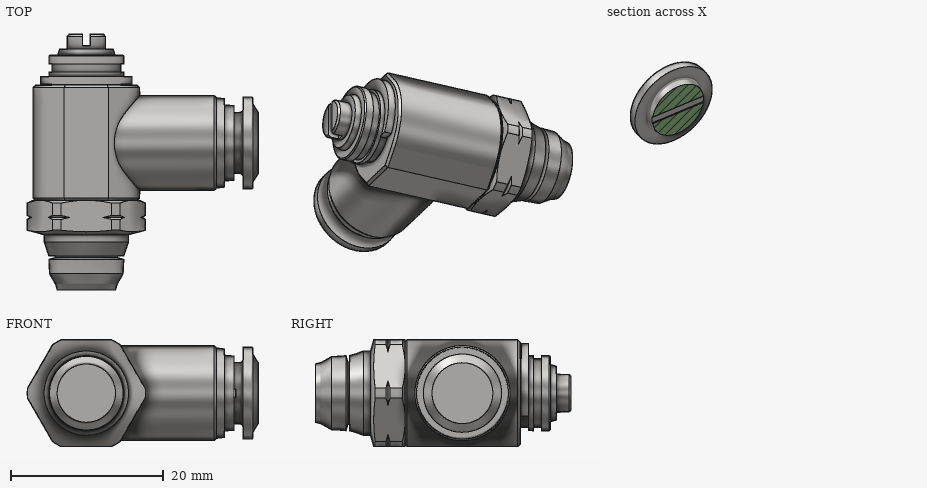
import cadquery as cq
import math


across_flats = 14.0
half_flats = across_flats / 2

body_top = 7.57
body_bottom = -7.5
body_top_chamfer = 0.35
body_bottom_chamfer = 0.27

nut_radius = 7.75
nut_bottom = -12.03
nut_top_chamfer_height = 0.37
nut_bottom_shoulder = -11.42
groove_center = -9.75
groove_depth = 0.4
groove_width = 0.55

seal_radius = 5.53
seal_taper_start = -12.95
thread_radius = 4.92
seal_bottom = -14.77
undercut_radius = 4.1
undercut_bottom = -15.0
plug_top = -15.25
plug_radius = 4.82
plug_taper_start = -17.12
nose_start = -18.53
nose_radius = 4.02
tip_radius = 3.82
valve_bottom = -19.25

collar_radius = 4.92
collar_groove_radius = 4.52
collar_bottom = 8.68
collar_groove_bottom = 9.28
collar_groove_top = 10.35
collar_top = 11.52
collar_chamfer = 0.17
cone_base_radius = 3.75
cone_top_radius = 3.52
screw_bottom = 12.3
screw_radius = 2.5
screw_chamfer = 0.27
valve_top = 14.25
screw_slot_width = 0.97
screw_slot_depth = 1.47

clip_radius = 6.0
clip_bottom = 7.67
clip_offset = 0.55
clip_open_level = -3.0

port_radius = 6.23
port_chamfer_start = 16.75
port_chamfer = 0.3
port_end_radius = 5.8
port_end = 18.1
sleeve_base_radius = 5.0
sleeve_end_radius = 4.9
sleeve_end = 19.35
neck_radius = 4.02
release_ring_start = 20.55
neck_fillet = 0.47
release_ring_radius = 6.03
release_ring_end = 21.8
release_ring_fillet = 0.2
release_face_outer_radius = 5.13
release_face_radius = 4.0
release_face = 22.5
neck_slit_height = 1.0
neck_slit_length = 0.2


def make_body():
    """Octagonal column whose two side faces are replaced by tangent round sides."""
    tangent = half_flats * math.sqrt(0.5)
    corner = half_flats * math.tan(math.radians(22.5))
    section = (
        cq.Workplane("XZ", origin=(0, body_top, 0))
        .moveTo(-corner, half_flats)
        .lineTo(corner, half_flats)
        .lineTo(tangent, tangent)
        .threePointArc((half_flats, 0), (tangent, -tangent))
        .lineTo(corner, -half_flats)
        .lineTo(-corner, -half_flats)
        .lineTo(-tangent, -tangent)
        .threePointArc((-half_flats, 0), (-tangent, tangent))
        .close()
    )
    column = section.extrude(body_top - body_bottom)
    column = column.faces(">Y").chamfer(body_top_chamfer)
    return column.faces("<Y").chamfer(body_bottom_chamfer)


def revolve_about_y(profile):
    """Turn a list of (radius, y) points about the valve axis."""
    return cq.Workplane("XY").polyline(profile).close().revolve(360, (0, 0), (0, 1))


def make_nut():
    """Hexagon trimmed by a turned shape that carries the end chamfers and the V groove."""
    corner_diameter = across_flats / math.cos(math.radians(30))
    hexagon = (
        cq.Workplane("XZ", origin=(0, body_bottom, 0))
        .polygon(6, corner_diameter)
        .extrude(body_bottom - nut_bottom)
    )
    envelope = revolve_about_y([
        (0, body_bottom),
        (half_flats, body_bottom),
        (nut_radius, body_bottom - nut_top_chamfer_height),
        (nut_radius, groove_center + groove_width / 2),
        (nut_radius - groove_depth, groove_center),
        (nut_radius, groove_center - groove_width / 2),
        (nut_radius, nut_bottom_shoulder),
        (seal_radius, nut_bottom),
        (0, nut_bottom),
    ])
    return hexagon.intersect(envelope)


def make_threaded_end():
    return revolve_about_y([
        (0, nut_bottom),
        (seal_radius, nut_bottom),
        (seal_radius, seal_taper_start),
        (thread_radius, seal_bottom),
        (undercut_radius, seal_bottom),
        (undercut_radius, undercut_bottom),
        (thread_radius, plug_top),
        (plug_radius, plug_taper_start),
        (nose_radius, nose_start),
        (tip_radius, valve_bottom),
        (0, valve_bottom),
    ])


def make_cap_and_screw():
    cap = revolve_about_y([
        (0, body_top),
        (collar_groove_radius, body_top),
        (collar_groove_radius, collar_bottom),
        (collar_radius, collar_bottom),
        (collar_radius, collar_groove_bottom),
        (collar_groove_radius, collar_groove_bottom),
        (collar_groove_radius, collar_groove_top),
        (collar_radius, collar_groove_top),
        (collar_radius, collar_top - collar_chamfer),
        (collar_radius - collar_chamfer, collar_top),
        (cone_base_radius, collar_top),
        (cone_top_radius, screw_bottom),
        (screw_radius, screw_bottom),
        (screw_radius, valve_top - screw_chamfer),
        (screw_radius - screw_chamfer, valve_top),
        (0, valve_top),
    ])
    slot = cq.Workplane("XY").box(screw_slot_width, 2 * screw_slot_depth, 2 * screw_radius)
    return cap.cut(slot.translate((0, valve_top, 0)))


def make_clip():
    """Off-centre disc cut flat along its open lower side."""
    thickness = collar_bottom - clip_bottom
    disc = (
        cq.Workplane("XZ", origin=(0, collar_bottom, 0))
        .center(0, clip_offset)
        .circle(clip_radius)
        .extrude(thickness)
    )
    keep_height = clip_offset + clip_radius - clip_open_level
    keep = cq.Workplane("XY").box(2 * clip_radius, thickness, keep_height)
    keep_center = (0, clip_bottom + thickness / 2, clip_open_level + keep_height / 2)
    return disc.intersect(keep.translate(keep_center))


def make_port():
    """Stepped tube port with its release ring, turned about the X axis."""
    neck_arc_mid = neck_fillet * (1 - math.sqrt(0.5))
    rim_arc_mid = release_ring_fillet * (1 - math.sqrt(0.5))
    port = (
        cq.Workplane("XY")
        .moveTo(0, 0)
        .lineTo(0, port_radius)
        .lineTo(port_chamfer_start, port_radius)
        .lineTo(port_chamfer_start + port_chamfer, port_radius - port_chamfer)
        .lineTo(port_end, port_end_radius)
        .lineTo(port_end, sleeve_base_radius)
        .lineTo(sleeve_end, sleeve_end_radius)
        .lineTo(sleeve_end, neck_radius)
        .lineTo(release_ring_start - neck_fillet, neck_radius)
        .threePointArc(
            (release_ring_start - neck_arc_mid, neck_radius + neck_arc_mid),
            (release_ring_start, neck_radius + neck_fillet),
        )
        .lineTo(release_ring_start, release_ring_radius)
        .lineTo(release_ring_end - release_ring_fillet, release_ring_radius)
        .threePointArc(
            (release_ring_end - rim_arc_mid, release_ring_radius - rim_arc_mid),
            (release_ring_end, release_ring_radius - release_ring_fillet),
        )
        .lineTo(release_ring_end, release_face_outer_radius)
        .lineTo(release_face, release_face_radius)
        .lineTo(release_face, 0)
        .close()
        .revolve(360, (0, 0), (1, 0))
    )
    slit = cq.Workplane("XY").box(neck_slit_length, 2 * port_radius, neck_slit_height)
    return port.cut(slit.translate((sleeve_end + neck_slit_length / 2, 0, 0)))


result = (
    make_body()
    .union(make_nut())
    .union(make_threaded_end())
    .union(make_cap_and_screw())
    .union(make_clip())
    .union(make_port())
)